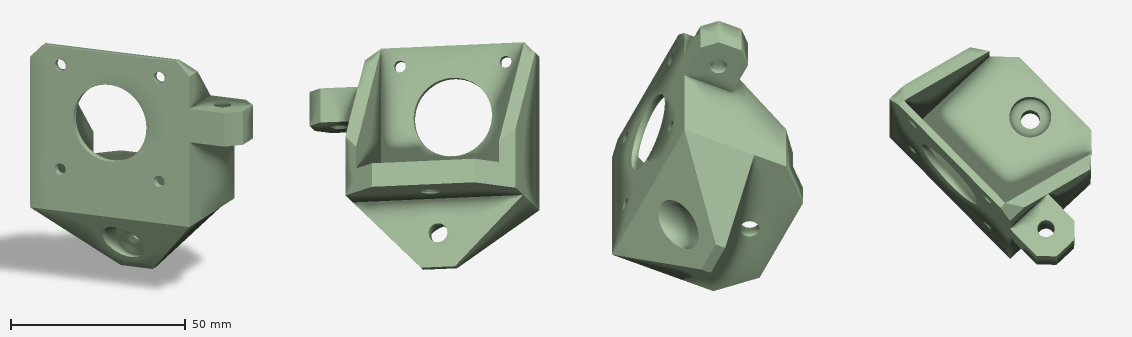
import cadquery as cq

width = 49.95
depth = 42.0
total_height = 69
lug_height = 20
box_height = total_height - lug_height
plate_thickness = 2.0
wall_thickness = 4.0
floor_thickness = 6.9
top_corner_chamfer = 4.0
rear_corner_chamfer = 10.0

bore_diameter = 23.0
bore_height = 28.0
motor_screw_diameter = 3.4
motor_screw_spacing = 31.0

screw_diameter = 5.5
head_diameter = 12.0
seat_thickness = 4.0
floor_screw_y = 32.0

lug_depth = 22.0
lug_tip_thickness = 3.0
lug_tip_width = 10.0
lug_screw_z = -lug_height / 2

arm_length = 15.05
arm_depth = 15.05
arm_thickness = 10.0
arm_bottom = 25.3
arm_chamfer = 4.0
arm_hole_diameter = 5.0
arm_hole_inset = 8.0

half_width = width / 2


def extrude_across_width(points):
    """Extrude a YZ outline over the full width, centred on X = 0."""
    return cq.Workplane("YZ").polyline(points).close().extrude(half_width, both=True)


def cylinder_along_y(diameter, x, z, start, end):
    return (
        cq.Workplane("XZ", origin=(x, start, z))
        .circle(diameter / 2)
        .extrude(start - end)
    )


def cylinder_along_z(diameter, x, y, start, end):
    return (
        cq.Workplane("XY", origin=(x, y, start))
        .circle(diameter / 2)
        .extrude(end - start)
    )


def make_box():
    body = extrude_across_width([
        (0, 0),
        (depth, 0),
        (depth, floor_thickness),
        (plate_thickness, box_height),
        (0, box_height),
    ])
    cavity = cq.Workplane("XY").box(
        width - 2 * wall_thickness, depth, box_height, centered=(True, False, False)
    ).translate((0, plate_thickness, floor_thickness))

    front_outline = (
        cq.Workplane("XZ")
        .rect(width, 2 * box_height)
        .extrude(-depth)
        .edges("|Y and >Z")
        .chamfer(top_corner_chamfer)
    )
    plan_outline = (
        cq.Workplane("XY")
        .rect(width, 2 * depth)
        .extrude(box_height)
        .edges("|Z and >Y")
        .chamfer(rear_corner_chamfer)
    )
    return body.cut(cavity).intersect(front_outline).intersect(plan_outline)


def make_lug():
    wedge = extrude_across_width([
        (0, 0),
        (lug_depth, 0),
        (lug_depth, -lug_height),
        (lug_depth - lug_tip_thickness, -lug_height),
    ])
    half_tip = lug_tip_width / 2
    trapezoid = (
        cq.Workplane("XZ")
        .polyline([
            (-half_width, 0),
            (half_width, 0),
            (half_tip, -lug_height),
            (-half_tip, -lug_height),
        ])
        .close()
        .extrude(-lug_depth)
    )
    return wedge.intersect(trapezoid)


def make_arm():
    arm = (
        cq.Workplane("XY")
        .box(arm_length, arm_depth, arm_thickness, centered=False)
        .edges("|Z and >X")
        .chamfer(arm_chamfer)
        .translate((half_width, 0, arm_bottom))
    )
    hole_x = half_width + arm_length - arm_hole_inset
    arm_top = arm_bottom + arm_thickness
    return arm.cut(cylinder_along_z(arm_hole_diameter, hole_x, arm_depth / 2, arm_bottom, arm_top))


result = make_box().union(make_lug()).union(make_arm())

result = result.cut(cylinder_along_y(bore_diameter, 0, bore_height, 0, plate_thickness))
screw_offset = motor_screw_spacing / 2
for x in (-screw_offset, screw_offset):
    for z in (bore_height - screw_offset, bore_height + screw_offset):
        result = result.cut(cylinder_along_y(motor_screw_diameter, x, z, 0, plate_thickness))

result = result.cut(cylinder_along_z(screw_diameter, 0, floor_screw_y, 0, floor_thickness))
result = result.cut(cylinder_along_z(head_diameter, 0, floor_screw_y, seat_thickness, floor_thickness))

result = result.cut(cylinder_along_y(screw_diameter, 0, lug_screw_z, 0, lug_depth))
result = result.cut(cylinder_along_y(head_diameter, 0, lug_screw_z, 0, lug_depth - seat_thickness))